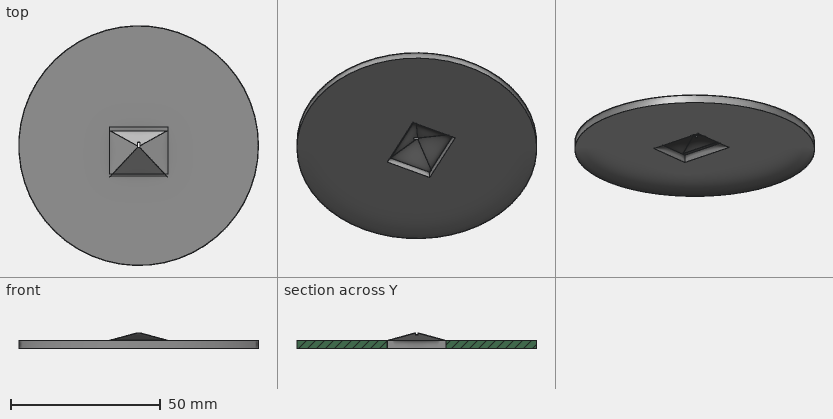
import cadquery as cq

plate_diameter = 80.0
plate_thickness = 2.75

total_height = 5.25
base_front_y = -10.5
base_back_y = 4.95
base_front_half_width = 9.67
base_back_half_width = 9.5

slot_width = 0.75
slot_front_y = -0.6
slot_back_y = 1.1
tip_back_y = -0.1

skin_height = 0.1
pocket_half_width = 9.75
pocket_front_y = -9.5
pocket_back_y = 6.2


def outline(z, front_y, back_y, front_half_width, back_half_width):
    """Closed four-sided wire at height z, symmetric about the YZ plane."""
    corners = [
        (-front_half_width, front_y, z),
        (front_half_width, front_y, z),
        (back_half_width, back_y, z),
        (-back_half_width, back_y, z),
    ]
    return cq.Wire.makePolygon([cq.Vector(*corner) for corner in corners], close=True)


def make_pyramid():
    """Pyramid with straight ridges from its base on the plate up to the small tip."""
    base = outline(
        plate_thickness, base_front_y, base_back_y, base_front_half_width, base_back_half_width
    )
    tip = outline(total_height, slot_front_y, tip_back_y, slot_width / 2, slot_width / 2)
    return cq.Workplane(cq.Solid.makeLoft([base, tip], True))


def box_between(half_width, front_y, back_y, top_z):
    """Box from Z = 0 up to top_z, centred on X."""
    return (
        cq.Workplane("XY")
        .center(0, (front_y + back_y) / 2)
        .rect(2 * half_width, back_y - front_y)
        .extrude(top_z)
    )


def pocket_box(top_z):
    """Box with the plan of the pocket, from Z = 0 up to top_z."""
    return box_between(pocket_half_width, pocket_front_y, pocket_back_y, top_z)


plate = cq.Workplane("XY").circle(plate_diameter / 2).extrude(plate_thickness)
pyramid = make_pyramid()

pocket = pocket_box(plate_thickness - skin_height)
hollow = pyramid.translate((0, 0, -skin_height)).intersect(pocket_box(total_height))

slot = box_between(slot_width / 2, slot_front_y, slot_back_y, total_height)

result = plate.union(pyramid).cut(pocket).cut(hollow).cut(slot)